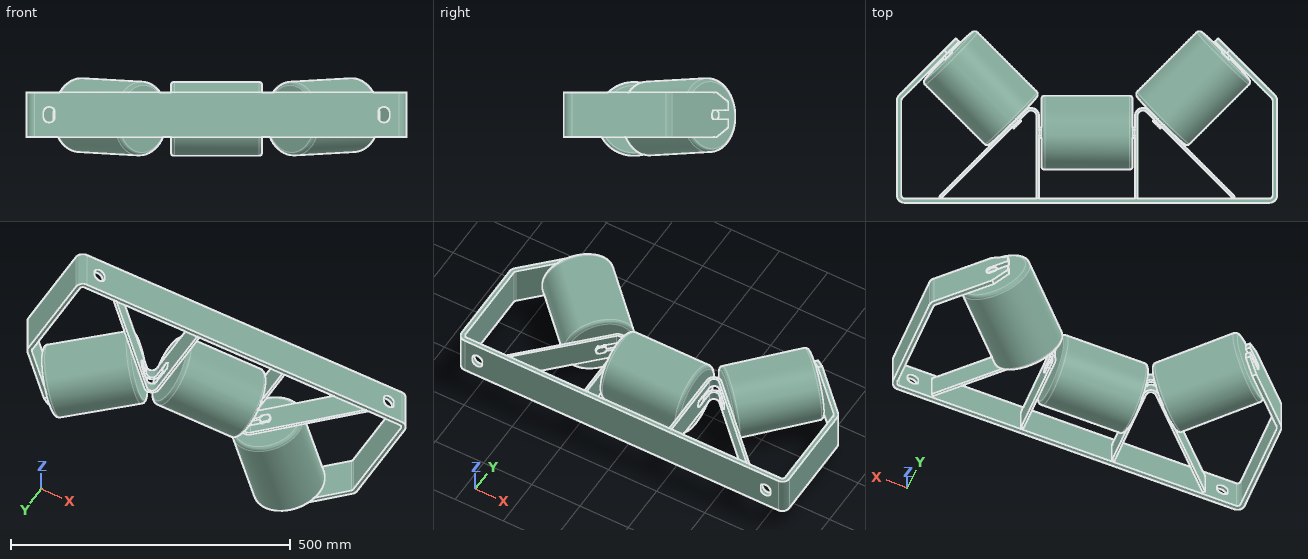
import cadquery as cq
import math

FRAME_LENGTH = 680.0
FRAME_HEIGHT = 80.0
FRAME_THICKNESS = 8.0
FRAME_INNER_RADIUS = 6.0
FRAME_SIDE_END = 183.0
FRAME_TIP_Y = 294.5
TIP_CHAMFER_ALONG = 30.0
TIP_CHAMFER_HEIGHT = 17.0
MOUNT_HOLE_X = 299.0
MOUNT_HOLE_WIDTH = 20.5
MOUNT_HOLE_HEIGHT = 28.0

BRACKET_HEIGHT = 55.0
BRACKET_Z = -7.5
BRACKET_THICKNESS = 5.0
BRACKET_INNER_RADIUS = 9.5
BRACKET_FACE_X = 86.0
BRACKET_TOP_Y = 170.0

DRUM_LENGTH = 163.0
DRUM_DIAMETER = 132.5
DRUM_EDGE_RADIUS = 6.0
SHAFT_DIAMETER = 20.0
SHAFT_FLATS = 16.0
MIDDLE_SHAFT_LENGTH = 2 * (BRACKET_FACE_X + BRACKET_THICKNESS)
SIDE_SHAFT_LENGTH = 185.0
MIDDLE_ROLLER_Y = 126.0
SIDE_ROLLER_X = 190.0
SIDE_ROLLER_Y = 205.5
INNER_SHAFT_Z = -7.5

DIAGONAL = math.sqrt(0.5)
SIDE_TILT = math.degrees(math.asin(-INNER_SHAFT_Z / SIDE_SHAFT_LENGTH))

MIDDLE_AXIS = cq.Plane(origin=(0, MIDDLE_ROLLER_Y, INNER_SHAFT_Z))
SIDE_AXIS = (
    cq.Plane(origin=(SIDE_ROLLER_X, SIDE_ROLLER_Y, INNER_SHAFT_Z / 2))
    .rotated((0, 0, 45))
    .rotated((0, -SIDE_TILT, 0))
)


def placed(body, axis):
    """Move a body built around the X axis onto a roller axis."""
    return cq.Workplane(body.solids().val().moved(axis.location))


def flat_shaft(start, end):
    """Round bar along X with flats above and below."""
    length = end - start
    bar = cq.Workplane("YZ", origin=(start, 0, 0)).circle(SHAFT_DIAMETER / 2).extrude(length)
    flats = cq.Workplane("YZ", origin=(start, 0, 0)).rect(SHAFT_DIAMETER, SHAFT_FLATS).extrude(length)
    return bar.intersect(flats)


def roller(shaft_length):
    drum = (
        cq.Workplane("YZ", origin=(-DRUM_LENGTH / 2, 0, 0))
        .circle(DRUM_DIAMETER / 2)
        .extrude(DRUM_LENGTH)
        .faces("<X or >X")
        .edges()
        .fillet(DRUM_EDGE_RADIUS)
    )
    return drum.union(flat_shaft(-shaft_length / 2, shaft_length / 2))


def shaft_slot(start, end, reach):
    """Cutter that seats a shaft from start to end along X and opens towards +Y."""
    channel = cq.Workplane(origin=(start, 0, 0)).box(
        end - start, reach, SHAFT_FLATS, centered=(False, False, True)
    )
    return channel.union(flat_shaft(start, end))


def frame_half():
    """Right half of the frame, from the middle of the base to the arm tip."""
    half_thickness = FRAME_THICKNESS / 2
    outer_radius = FRAME_INNER_RADIUS + FRAME_THICKNESS
    mid_radius = FRAME_INNER_RADIUS + half_thickness
    side_x = FRAME_LENGTH / 2 - half_thickness
    bend_x = FRAME_LENGTH / 2 - outer_radius
    arm_start = (bend_x + mid_radius * DIAGONAL, FRAME_SIDE_END + mid_radius * DIAGONAL)
    arm_rise = FRAME_TIP_Y - half_thickness * DIAGONAL - arm_start[1]
    tip = (arm_start[0] - arm_rise, arm_start[1] + arm_rise)

    path = (
        cq.Workplane()
        .moveTo(0, half_thickness)
        .lineTo(bend_x, half_thickness)
        .tangentArcPoint((side_x, outer_radius), relative=False)
        .lineTo(side_x, FRAME_SIDE_END)
        .tangentArcPoint(arm_start, relative=False)
        .lineTo(*tip)
    )
    strip = (
        cq.Workplane("YZ", origin=(0, half_thickness, 0))
        .rect(FRAME_THICKNESS, FRAME_HEIGHT)
        .sweep(path)
    )

    tip_plane = cq.Plane(origin=(*tip, 0), xDir=(-1, 1, 0), normal=(1, 1, 0))
    half_height = FRAME_HEIGHT / 2
    for side in (-1, 1):
        corner = (
            cq.Workplane(tip_plane)
            .moveTo(0, side * half_height)
            .lineTo(0, side * (half_height - TIP_CHAMFER_HEIGHT))
            .lineTo(-TIP_CHAMFER_ALONG, side * half_height)
            .close()
            .extrude(FRAME_THICKNESS, both=True)
        )
        strip = strip.cut(corner)

    slot_start = DRUM_LENGTH / 2
    slot_end = SIDE_SHAFT_LENGTH / 2 + FRAME_THICKNESS
    slot_reach = FRAME_TIP_Y - SIDE_ROLLER_Y
    strip = strip.cut(placed(shaft_slot(slot_start, slot_end, slot_reach), SIDE_AXIS))

    mount_hole = (
        cq.Workplane("XZ", origin=(MOUNT_HOLE_X, 0, 0))
        .slot2D(MOUNT_HOLE_HEIGHT, MOUNT_HOLE_WIDTH, 90)
        .extrude(-FRAME_THICKNESS)
    )
    return strip.cut(mount_hole)


def make_frame():
    half = frame_half()
    return half.union(half.mirror("YZ"))


def make_bracket():
    """Right-hand bracket, both of whose legs stand on the frame base."""
    half_thickness = BRACKET_THICKNESS / 2
    outer_radius = BRACKET_INNER_RADIUS + BRACKET_THICKNESS
    mid_radius = BRACKET_INNER_RADIUS + half_thickness
    leg_x = BRACKET_FACE_X + half_thickness
    bend_x = BRACKET_FACE_X + outer_radius
    bend_y = BRACKET_TOP_Y - outer_radius
    diagonal_start = (bend_x + mid_radius * DIAGONAL, bend_y + mid_radius * DIAGONAL)
    diagonal_drop = diagonal_start[1] - FRAME_THICKNESS - half_thickness * DIAGONAL

    path = (
        cq.Workplane()
        .moveTo(leg_x, FRAME_THICKNESS)
        .lineTo(leg_x, bend_y)
        .tangentArcPoint(diagonal_start, relative=False)
        .line(diagonal_drop, -diagonal_drop)
    )
    strip = (
        cq.Workplane("XZ", origin=(leg_x, FRAME_THICKNESS, BRACKET_Z))
        .rect(BRACKET_THICKNESS, BRACKET_HEIGHT)
        .sweep(path)
    )

    reach = 2 * (BRACKET_TOP_Y - MIDDLE_ROLLER_Y)
    upright_slot = placed(shaft_slot(DRUM_LENGTH / 2, bend_x, reach), MIDDLE_AXIS)
    slot_start = -DRUM_LENGTH / 2 - outer_radius - BRACKET_THICKNESS
    diagonal_slot = placed(shaft_slot(slot_start, -DRUM_LENGTH / 2, reach), SIDE_AXIS)
    return strip.cut(upright_slot).cut(diagonal_slot)


frame = make_frame()
bracket = make_bracket()
middle_roller = placed(roller(MIDDLE_SHAFT_LENGTH), MIDDLE_AXIS)
side_roller = placed(roller(SIDE_SHAFT_LENGTH), SIDE_AXIS)

bodies = [frame.solids().val(), middle_roller.val()]
for right_body in (bracket, side_roller):
    left_body = right_body.mirror("YZ")
    bodies += [right_body.solids().val(), left_body.solids().val()]

result = cq.Compound.makeCompound(bodies)